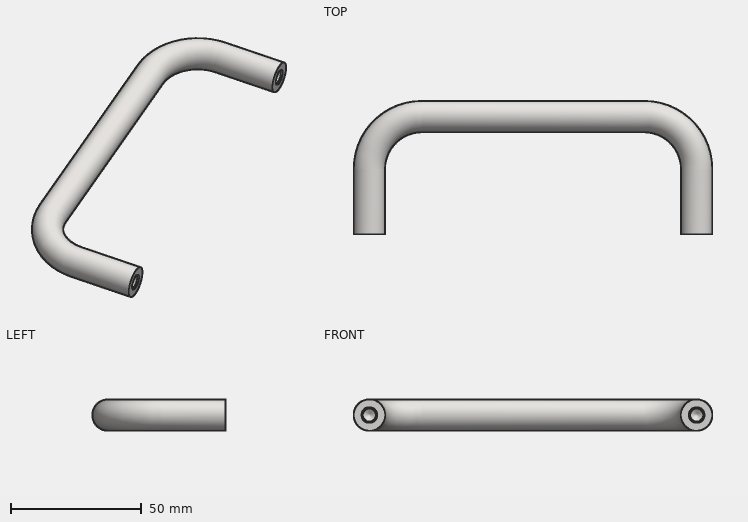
import cadquery as cq
import math

length = 137.0
depth = 51.0
rod_diameter = 12.0
bend_radius = 20.0
hole_diameter = 5.0
hole_depth = 12.0
countersink_diameter = 6.0
drill_tip_angle = 118.0
countersink_angle = 90.0

leg_x = (length - rod_diameter) / 2
grip_y = depth - rod_diameter / 2
bend_y = grip_y - bend_radius
grip_end_x = leg_x - bend_radius


def bent_rod():
    """Round rod swept along a U: two legs, two quarter bends and a straight grip."""
    path = (
        cq.Workplane("XY")
        .moveTo(-leg_x, 0)
        .lineTo(-leg_x, bend_y)
        .tangentArcPoint((-grip_end_x, grip_y), relative=False)
        .lineTo(grip_end_x, grip_y)
        .tangentArcPoint((leg_x, bend_y), relative=False)
        .lineTo(leg_x, 0)
    )
    return cq.Workplane("XZ", origin=(-leg_x, 0, 0)).circle(rod_diameter / 2).sweep(path)


def drill_leg(rod, x):
    """Blind hole in one leg end, with a countersunk mouth and a conical bottom."""
    hole_radius = hole_diameter / 2
    mouth_radius = countersink_diameter / 2
    countersink_depth = (mouth_radius - hole_radius) / math.tan(math.radians(countersink_angle / 2))
    tip_height = hole_radius / math.tan(math.radians(drill_tip_angle / 2))
    hole = (
        cq.Workplane("XY", origin=(x, 0, 0))
        .lineTo(mouth_radius, 0)
        .lineTo(hole_radius, countersink_depth)
        .lineTo(hole_radius, hole_depth)
        .lineTo(0, hole_depth + tip_height)
        .close()
        .revolve(360, (0, 0, 0), (0, 1, 0))
    )
    return rod.cut(hole)


result = bent_rod()
for x in (-leg_x, leg_x):
    result = drill_leg(result, x)